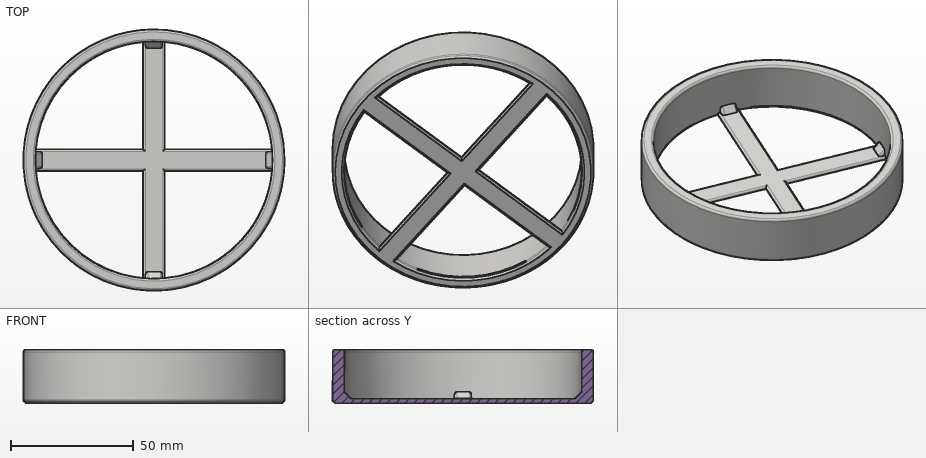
import cadquery as cq

outer_diameter = 107.0
inner_diameter = 97.0
height = 22.0
top_fillet = 1.0
bottom_chamfer = 1.2
chamfer_blend = 1.0

arm_width = 9.0
arm_thickness = 2.0
arm_top_fillet = 0.9
arm_bottom_chamfer = 0.9

gusset_size = 2.8
gusset_width = 7.0
gusset_fillet = 1.0

outer_radius = outer_diameter / 2
inner_radius = inner_diameter / 2
reach = (outer_radius + inner_radius) / 2


def make_ring():
    ring = cq.Workplane("XY").circle(outer_radius).circle(inner_radius).extrude(height)
    ring = ring.faces("<Z").edges().chamfer(bottom_chamfer)
    ring = ring.faces(">Z").edges().fillet(top_fillet)
    margin = 0.01
    corners = cq.selectors.BoxSelector(
        (-outer_diameter, -outer_diameter, bottom_chamfer - margin),
        (outer_diameter, outer_diameter, bottom_chamfer + margin),
        boundingbox=True,
    )
    return ring.edges("%CIRCLE").edges(corners).fillet(chamfer_blend)


def make_cross():
    arm = cq.Workplane("XY").box(2 * reach, arm_width, arm_thickness, centered=(True, True, False))
    arm = arm.faces(">Z").edges("|X").fillet(arm_top_fillet)
    arm = arm.faces("<Z").edges("|X").chamfer(arm_bottom_chamfer)
    return arm.union(arm.rotate((0, 0, 0), (0, 0, 1), 90))


def make_gusset():
    foot = inner_radius - gusset_size
    rise = reach - foot
    gusset = (
        cq.Workplane("XZ")
        .moveTo(foot, arm_thickness)
        .lineTo(reach, arm_thickness + rise)
        .lineTo(reach, arm_thickness)
        .close()
        .extrude(gusset_width / 2, both=True)
    )
    return gusset.faces("<(1, 0, -1)").edges("not |Y").fillet(gusset_fillet)


result = make_ring().union(make_cross())
gusset = make_gusset()
for angle in (0, 90, 180, 270):
    result = result.union(gusset.rotate((0, 0, 0), (0, 0, 1), angle))